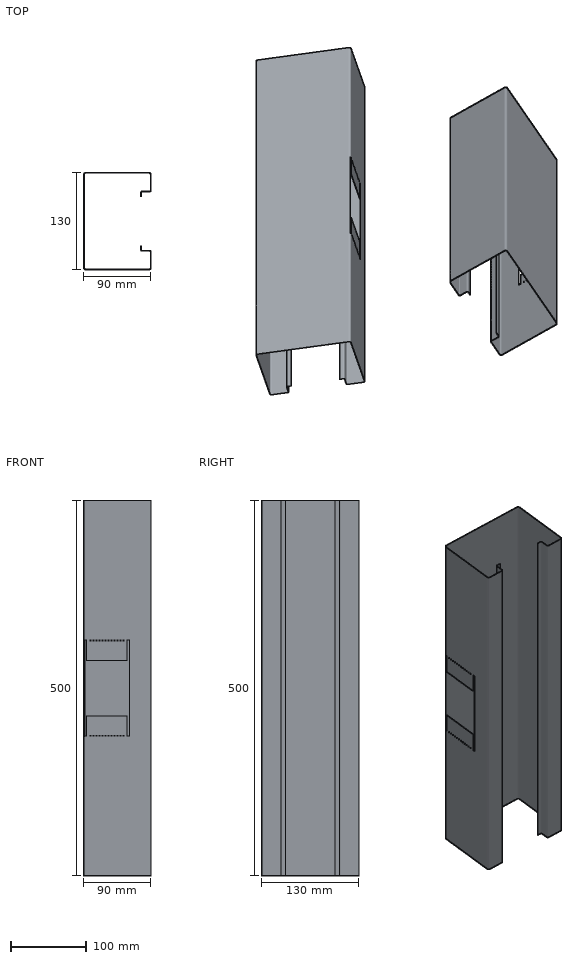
import cadquery as cq

DEPTH = 90.0
WIDTH = 130.0
LENGTH = 500.0
WALL = 1.0
BEND_RADIUS = 3.0
LIP_RADIUS = 2.0

LIP_GAP = 78.0
LIP_DEPTH = 14.0
RETURN_LENGTH = 6.0

OPENING_START = WALL
OPENING_END = 61.0
OPENING_HEIGHT = 128.0
OPENING_DEPTH = 1.5
WINDOW_HEIGHT = 74.0
RELIEF_WIDTH = 3.0

PERFORATION_SIZE = 1.0
PERFORATION_PITCH = 4.0
PERFORATION_COUNT = 12

MID_HEIGHT = LENGTH / 2
OPENING_CENTRE = (OPENING_START + OPENING_END) / 2


def channel_side():
    """The +Y half of the channel, with every bend rounded."""
    edge = WIDTH / 2
    lip = LIP_GAP / 2
    lip_back = DEPTH - LIP_DEPTH
    outline = [
        (0, 0),
        (0, edge),
        (DEPTH, edge),
        (DEPTH, lip),
        (lip_back + WALL, lip),
        (lip_back + WALL, lip - RETURN_LENGTH),
        (lip_back, lip - RETURN_LENGTH),
        (lip_back, lip + WALL),
        (DEPTH - WALL, lip + WALL),
        (DEPTH - WALL, edge - WALL),
        (WALL, edge - WALL),
        (WALL, 0),
    ]
    bends = [
        ([(0, edge), (DEPTH, edge)], BEND_RADIUS),
        ([(WALL, edge - WALL), (DEPTH - WALL, edge - WALL)], BEND_RADIUS - WALL),
        ([(DEPTH, lip), (lip_back, lip + WALL)], LIP_RADIUS),
        ([(DEPTH - WALL, lip + WALL), (lip_back + WALL, lip)], LIP_RADIUS - WALL),
    ]
    side = cq.Workplane("XY").polyline(outline).close().extrude(LENGTH)
    for corners, radius in bends:
        for x, y in corners:
            side = side.edges(cq.selectors.NearestToPointSelector((x, y, MID_HEIGHT))).fillet(radius)
    return side


def flange_cutter(x, z, width, height):
    """Block centred at (x, z), sunk into the -Y flange to the opening depth."""
    cut_depth = 2 * OPENING_DEPTH
    return cq.Workplane("XY").box(width, cut_depth, height).translate((x, -WIDTH / 2, z))


def cut_opening(body):
    """Cut the window between the tabs and the relief slots beside them."""
    width = OPENING_END - OPENING_START
    body = body.cut(flange_cutter(OPENING_CENTRE, MID_HEIGHT, width, WINDOW_HEIGHT))
    for x in (OPENING_START + RELIEF_WIDTH / 2, OPENING_END - RELIEF_WIDTH / 2):
        body = body.cut(flange_cutter(x, MID_HEIGHT, RELIEF_WIDTH, OPENING_HEIGHT))
    return body


def cut_perforations(body):
    """Cut the two rows of perforations that let the tabs be broken off."""
    row_offset = (OPENING_HEIGHT - PERFORATION_SIZE) / 2
    first_x = OPENING_CENTRE - PERFORATION_PITCH * (PERFORATION_COUNT - 1) / 2
    for index in range(PERFORATION_COUNT):
        x = first_x + index * PERFORATION_PITCH
        for z in (MID_HEIGHT - row_offset, MID_HEIGHT + row_offset):
            body = body.cut(flange_cutter(x, z, PERFORATION_SIZE, PERFORATION_SIZE))
    return body


half_channel = channel_side()
channel = half_channel.union(half_channel.mirror("XZ"))
result = cut_perforations(cut_opening(channel))